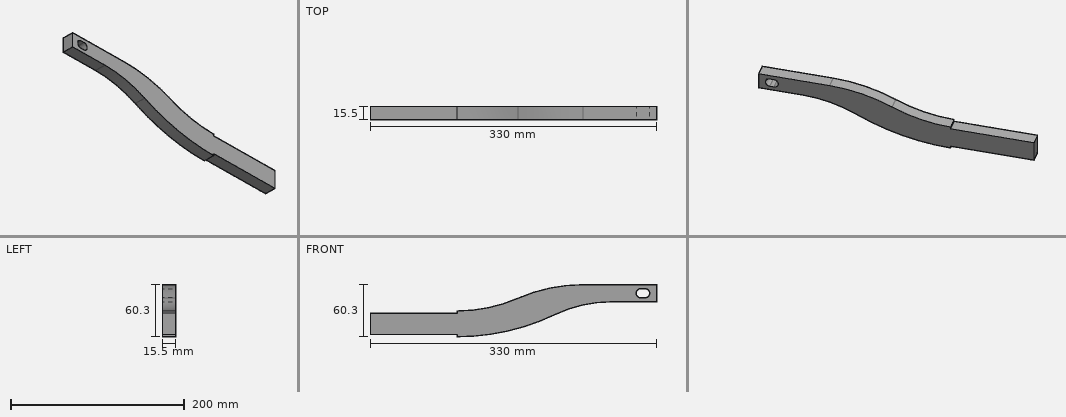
import cadquery as cq
import math

length = 330.0
thickness = 15.5
height = 60.26

handle_length = 100.0
handle_height = 25.0

shoulder_height = 30.0
upper_low_radius = 175.0
upper_high_radius = 187.0
lower_low_radius = 261.0
lower_high_radius = 150.0

arm_height = 20.0
slot_width = 10.3
slot_travel = 5.0
slot_center_from_end = 16.0

arm_bottom = height - arm_height
handle_bottom = (shoulder_height - handle_height) / 2
handle_top = handle_bottom + handle_height


def s_curve(start_z, end_z, low_radius, high_radius):
    """Points of a rising S: start, middle of arc, inflection, middle of arc, end."""
    turn = math.acos(1 - (end_z - start_z) / (low_radius + high_radius))
    end_x = handle_length + (low_radius + high_radius) * math.sin(turn)

    def on_low_arc(angle):
        return (
            handle_length + low_radius * math.sin(angle),
            start_z + low_radius * (1 - math.cos(angle)),
        )

    def on_high_arc(angle):
        return (
            end_x - high_radius * math.sin(angle),
            end_z - high_radius * (1 - math.cos(angle)),
        )

    return [
        (handle_length, start_z),
        on_low_arc(turn / 2),
        on_low_arc(turn),
        on_high_arc(turn / 2),
        (end_x, end_z),
    ]


def make_bar():
    upper = s_curve(shoulder_height, height, upper_low_radius, upper_high_radius)
    lower = s_curve(0, arm_bottom, lower_low_radius, lower_high_radius)
    return (
        cq.Workplane("XZ")
        .moveTo(0, handle_bottom)
        .lineTo(handle_length, handle_bottom)
        .lineTo(*lower[0])
        .threePointArc(lower[1], lower[2])
        .threePointArc(lower[3], lower[4])
        .lineTo(length, arm_bottom)
        .lineTo(length, height)
        .lineTo(*upper[4])
        .threePointArc(upper[3], upper[2])
        .threePointArc(upper[1], upper[0])
        .lineTo(handle_length, handle_top)
        .lineTo(0, handle_top)
        .close()
        .extrude(thickness / 2, both=True)
    )


def make_slot():
    return (
        cq.Workplane("XZ")
        .center(length - slot_center_from_end, arm_bottom + arm_height / 2)
        .slot2D(slot_width + slot_travel, slot_width)
        .extrude(thickness, both=True)
    )


result = make_bar().cut(make_slot())